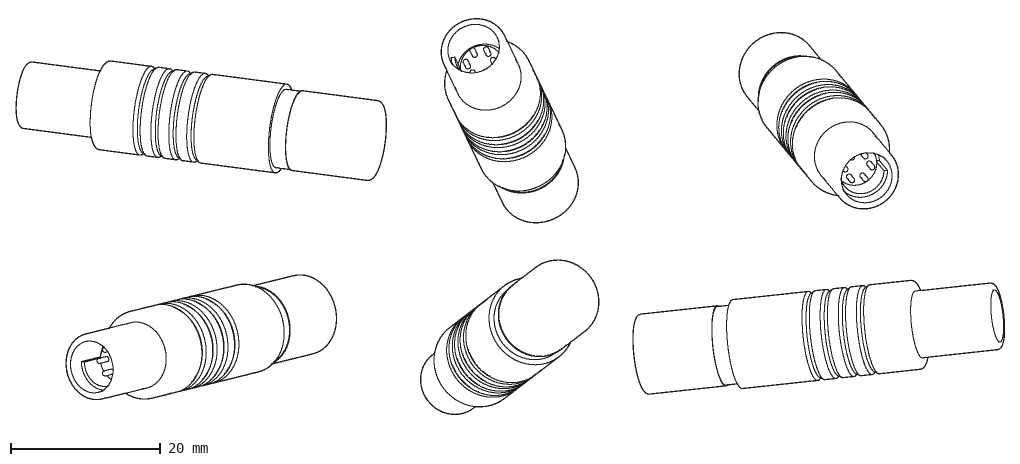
import cadquery as cq
import math

total_length = 49.0
body_start = 10.8
body_length = 25.0
body_end = body_start + body_length
neck_length = 2.2
collar_start = body_end + neck_length

nose_radius = 4.5
body_radius = 6.0
neck_radius = 5.3
collar_radius = 5.4
edge_round = 0.5

groove_count = 4
groove_pitch = 2.5
first_groove_start = 16.9
groove_width = 1.0
groove_cone_length = 0.52
groove_arc_length = groove_width - groove_cone_length
groove_depth = 0.3

bore_radius = 3.5
key_inner_radius = 3.0
insert_radius = 2.9
key_depth = 2.5
insert_depth = 6.0
socket_depth = 7.0

pin_count = 6
pin_circle_radius = 1.85
pin_radius = 0.35
pin_length = 2.0


def cylinder(start, end, radius):
    """Solid cylinder on the X axis between two stations."""
    return cq.Workplane("YZ", origin=(start, 0, 0)).circle(radius).extrude(end - start)


def make_shell():
    """Stepped outer shell with rounded leading and trailing edges."""
    nose = cylinder(0, body_start, nose_radius).faces("<X").edges().fillet(edge_round)
    body = cylinder(body_start, body_end, body_radius).faces("<X").edges().fillet(edge_round)
    neck = cylinder(body_end, collar_start, neck_radius)
    collar = cylinder(collar_start, total_length, collar_radius).faces(">X").edges().fillet(edge_round)
    return nose.union(body).union(neck).union(collar)


def make_groove(start):
    """Ring that cuts one grip groove into the body surface."""
    deepest = start + groove_cone_length
    end = deepest + groove_arc_length
    floor_radius = body_radius - groove_depth
    clear_radius = body_radius + groove_depth
    arc_radius = (groove_arc_length**2 + groove_depth**2) / (2 * groove_depth)
    half_angle = math.asin(groove_arc_length / arc_radius) / 2
    arc_middle = (
        deepest + arc_radius * math.sin(half_angle),
        floor_radius + arc_radius * (1 - math.cos(half_angle)),
    )
    return (
        cq.Workplane("XY")
        .moveTo(start, body_radius)
        .lineTo(deepest, floor_radius)
        .threePointArc(arc_middle, (end, body_radius))
        .lineTo(end, clear_radius)
        .lineTo(start, clear_radius)
        .close()
        .revolve(360, (0, 0, 0), (1, 0, 0))
    )


def make_key():
    """Half-ring key filling the lower half of the bore from the key depth to the floor."""
    ring = cylinder(key_depth, socket_depth, bore_radius).cut(
        cylinder(key_depth, socket_depth, key_inner_radius)
    )
    upper_half = cq.Workplane("XY").box(
        socket_depth, 2 * bore_radius, bore_radius, centered=(False, True, False)
    )
    return ring.cut(upper_half)


def make_socket():
    """Cavity of the mating face, leaving the key and the insert standing."""
    insert = cylinder(insert_depth, socket_depth, insert_radius)
    return cylinder(0, socket_depth, bore_radius).cut(make_key()).cut(insert)


def make_pins():
    """Round-tipped contact pins standing on the insert."""
    tip_center = insert_depth - pin_length + pin_radius
    tip = cq.Workplane("XY", origin=(tip_center, 0, 0)).sphere(pin_radius)
    pin = cylinder(tip_center, insert_depth, pin_radius).union(tip)
    pin = pin.translate((0, pin_circle_radius, 0))
    pins = cq.Workplane("XY")
    for index in range(pin_count):
        pins = pins.union(pin.rotate((0, 0, 0), (1, 0, 0), index * 360 / pin_count))
    return pins


connector = make_shell()
for groove_index in range(groove_count):
    connector = connector.cut(make_groove(first_groove_start + groove_index * groove_pitch))
result = connector.cut(make_socket()).union(make_pins())